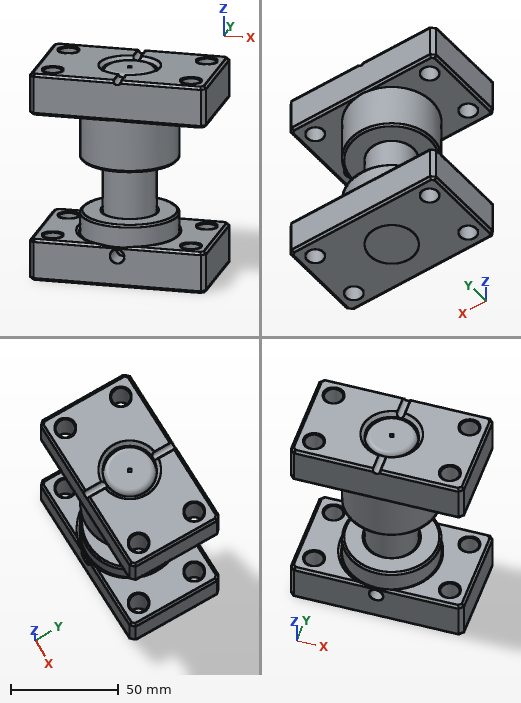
import cadquery as cq
import math

block_length = 84.0
block_width = 48.0
block_height = 20.0
corner_chamfer = 2.0
edge_chamfer = 1.2
total_height = 100.6

screw_spacing_x = 66.0
screw_spacing_y = 30.0
screw_hole_radius = 4.5
screw_hole_chamfer = 0.5

boss_radius = 23.0
boss_chamfer = 1.0
collar_height = 10.0
sleeve_height = 25.0

relief_radius = 24.3
relief_depth = 1.0
relief_offset_x = -0.5

pillar_radius = 12.6
pillar_top_gap = 0.8
tip_radius = 12.3
tip_fillet = 2.7
tip_taper_height = 1.0
center_mark_radius = 0.9
center_mark_depth = 1.6
collar_bore_chamfer = 0.9
sleeve_bore_chamfer = 1.9

groove_radius = 1.8
groove_axis_depth = 0.2
cross_hole_radius = 3.4
cross_hole_height = 15.0

upper_base = total_height - block_height
collar_top = block_height + collar_height
sleeve_bottom = upper_base - sleeve_height
pillar_top = total_height - pillar_top_gap
pillar_face_radius = tip_radius - tip_fillet


def cylinder(radius, bottom, top):
    return cq.Workplane("XY", origin=(0, 0, bottom)).circle(radius).extrude(top - bottom)


def cone(bottom_radius, top_radius, bottom, top):
    solid = cq.Solid.makeCone(bottom_radius, top_radius, top - bottom, pnt=cq.Vector(0, 0, bottom))
    return cq.Workplane(obj=solid)


def mouth_chamfer(radius, size, top):
    """Cone that widens a vertical hole by `size` at its upper mouth."""
    return cone(radius, radius + size, top - size, top)


def make_block(bottom):
    """Chamfered rectangular block with four screw holes."""
    block = (
        cq.Workplane("XY", origin=(0, 0, bottom))
        .rect(block_length, block_width)
        .extrude(block_height)
        .edges("|Z").chamfer(corner_chamfer)
        .faces("<Z or >Z").edges().chamfer(edge_chamfer)
    )
    top = bottom + block_height
    screw_hole = cylinder(screw_hole_radius, bottom, top).union(
        mouth_chamfer(screw_hole_radius, screw_hole_chamfer, top)
    )
    for side_x in (-1, 1):
        for side_y in (-1, 1):
            place = (side_x * screw_spacing_x / 2, side_y * screw_spacing_y / 2, 0)
            block = block.cut(screw_hole.translate(place))
    return block


def make_lower_block():
    """Block with a collar, a relief ring around it and a cross hole to the bore."""
    relief = cone(
        boss_radius, relief_radius, block_height - relief_depth, block_height
    ).translate((relief_offset_x, 0, 0))
    collar = cylinder(boss_radius, block_height / 2, collar_top).faces(">Z").edges().chamfer(boss_chamfer)
    cross_hole = (
        cq.Workplane("XZ", origin=(0, 0, cross_hole_height))
        .circle(cross_hole_radius)
        .extrude(block_width / 2)
    )
    return (
        make_block(0)
        .cut(relief)
        .union(collar)
        .cut(cross_hole)
        .cut(cylinder(pillar_radius, 0, collar_top))
        .cut(mouth_chamfer(pillar_radius, collar_bore_chamfer, collar_top))
    )


def make_upper_block():
    """Block with a hanging sleeve, and a groove across its top."""
    sleeve = (
        cylinder(boss_radius, sleeve_bottom, total_height - block_height / 2)
        .faces("<Z").edges().chamfer(boss_chamfer)
    )
    groove_floor = (
        cq.Workplane("XZ", origin=(0, block_width / 2, total_height - groove_axis_depth))
        .circle(groove_radius)
        .extrude(block_width)
    )
    groove_walls = cq.Workplane("XY", origin=(0, 0, total_height - groove_axis_depth / 2)).box(
        2 * groove_radius, block_width, groove_axis_depth
    )
    return (
        make_block(upper_base)
        .union(sleeve)
        .cut(cylinder(pillar_radius, sleeve_bottom, total_height))
        .cut(mouth_chamfer(pillar_radius, sleeve_bore_chamfer, total_height))
        .cut(groove_floor)
        .cut(groove_walls)
    )


def make_pillar():
    """Pillar with a slightly tapered, rounded tip and a conical center mark."""
    shoulder = pillar_top - tip_fillet
    arc_offset = tip_fillet * math.sqrt(0.5)
    arc_middle = (pillar_face_radius + arc_offset, shoulder + arc_offset)
    profile = (
        cq.Workplane("XZ")
        .moveTo(0, 0)
        .lineTo(pillar_radius, 0)
        .lineTo(pillar_radius, shoulder - tip_taper_height)
        .lineTo(tip_radius, shoulder)
        .threePointArc(arc_middle, (pillar_face_radius, pillar_top))
        .lineTo(0, pillar_top)
        .close()
    )
    center_mark = cone(0, center_mark_radius, pillar_top - center_mark_depth, pillar_top)
    return profile.revolve(360, (0, 0), (0, 1)).cut(center_mark)


lower_block = make_lower_block()
upper_block = make_upper_block()
pillar = make_pillar()

result = cq.Compound.makeCompound([
    lower_block.solids().val(),
    upper_block.solids().val(),
    pillar.solids().val(),
])